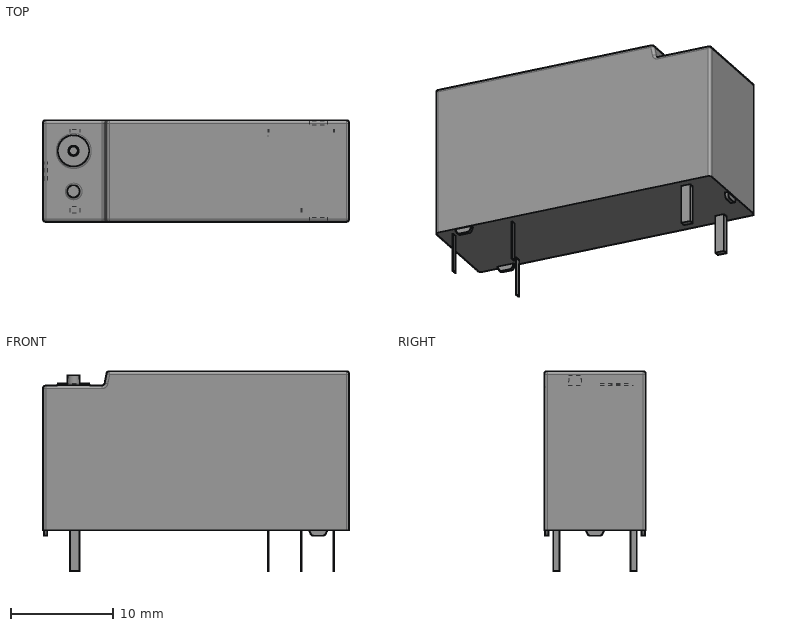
import cadquery as cq
import math


case_length = 30.0
case_width = 10.0
case_height = 15.6
deck_drop = 1.4
deck_height = case_height - deck_drop
step_foot_x = 6.0
step_head_x = 6.27
edge_radius = 0.3

deck_feature_x = 3.0
deck_feature_y = 1.98
disc_radius = 1.53
disc_height = 0.2
dimple_top_radius = 0.5
dimple_bottom_radius = 0.42
dimple_depth = 0.12
button_base_radius = 0.63
button_top_radius = 0.6
button_height = 1.02
flare_radius = 0.18
post_embed = 0.15

pin_length = 4.0
pin_row_y = 3.78
pin_width = 0.63
coil_pin_x = 3.12
coil_pin_length_x = 0.95
contact_pin_thickness = 0.1
center_contact_x = 25.3
contact_pitch = 3.2
pin_embed = 0.3

foot_height = 0.55
foot_base_length = 1.8
foot_tip_length = 1.32
foot_tip_radius = 0.3
foot_thickness = 0.35
foot_inset = 0.1
side_foot_x = 26.97


def make_case():
    """Stepped case with every edge rounded except those around the flat bottom."""
    return (
        cq.Workplane("XZ", origin=(0, case_width / 2, 0))
        .moveTo(0, 0)
        .lineTo(case_length, 0)
        .lineTo(case_length, case_height)
        .lineTo(step_head_x, case_height)
        .lineTo(step_foot_x, deck_height)
        .lineTo(0, deck_height)
        .close()
        .extrude(case_width)
        .edges("not(<Z)")
        .fillet(edge_radius)
    )


def make_flared_post(y, base_radius, top_radius, height):
    """Round post on the deck, its foot flaring out to the deck in a concave quarter circle."""
    flare_center_radius = base_radius + flare_radius
    flare_sag = flare_radius * math.sqrt(0.5)
    return (
        cq.Workplane("XZ", origin=(deck_feature_x, y, deck_height))
        .moveTo(0, -post_embed)
        .lineTo(flare_center_radius, -post_embed)
        .lineTo(flare_center_radius, 0)
        .threePointArc(
            (flare_center_radius - flare_sag, flare_radius - flare_sag),
            (base_radius, flare_radius),
        )
        .lineTo(top_radius, height)
        .lineTo(0, height)
        .close()
        .revolve(360, (0, 0), (0, 1))
    )


def make_disc():
    """Low disc with a shallow tapered dimple in its top."""
    disc = make_flared_post(deck_feature_y, disc_radius, disc_radius, disc_height)
    dimple = cq.Workplane(cq.Solid.makeCone(dimple_bottom_radius, dimple_top_radius, dimple_depth))
    dimple_floor = deck_height + disc_height - dimple_depth
    return disc.cut(dimple.translate((deck_feature_x, deck_feature_y, dimple_floor)))


def make_button():
    """Tapered push button."""
    return make_flared_post(-deck_feature_y, button_base_radius, button_top_radius, button_height)


def make_pin(x, y, length_x):
    """Flat terminal pin reaching a little way into the case."""
    return (
        cq.Workplane("XY", origin=(x, y, -pin_length))
        .rect(length_x, pin_width)
        .extrude(pin_length + pin_embed)
    )


def make_foot():
    """Tapered foot centred on Y = 0, long along X, hanging below Z = 0, its tip edges rounded."""
    return (
        cq.Workplane("XZ", origin=(0, foot_thickness / 2, 0))
        .moveTo(-foot_base_length / 2, 0)
        .lineTo(foot_base_length / 2, 0)
        .lineTo(foot_tip_length / 2, -foot_height)
        .lineTo(-foot_tip_length / 2, -foot_height)
        .close()
        .extrude(foot_thickness)
        .edges("|Y and <Z")
        .fillet(foot_tip_radius)
    )


result = make_case().union(make_disc()).union(make_button())

for side in (-1, 1):
    result = result.union(make_pin(coil_pin_x, side * pin_row_y, coil_pin_length_x))

for step, side in ((-1, 1), (0, -1), (1, 1)):
    contact_x = center_contact_x + step * contact_pitch
    result = result.union(make_pin(contact_x, side * pin_row_y, contact_pin_thickness))

foot_setback = foot_inset + foot_thickness / 2
end_foot = make_foot().rotate((0, 0, 0), (0, 0, 1), 90)
result = result.union(end_foot.translate((foot_setback, 0, 0)))
for side in (-1, 1):
    side_foot_y = side * (case_width / 2 - foot_setback)
    result = result.union(make_foot().translate((side_foot_x, side_foot_y, 0)))